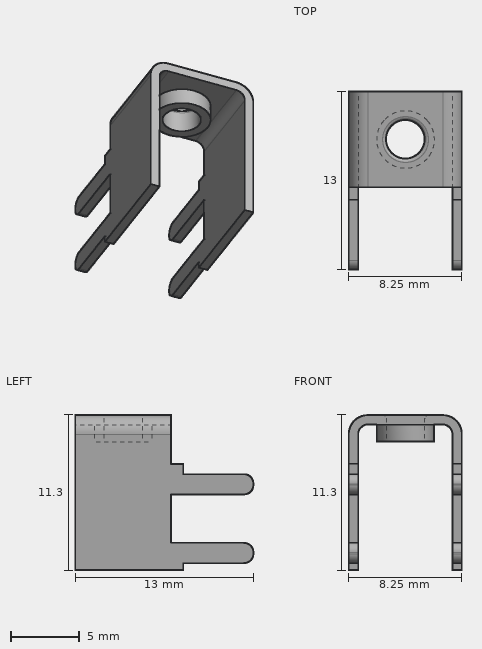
import cadquery as cq

width = 8.25
length = 13.0
height = 11.3

thickness = 0.7
bend_radius = 1.4
body_length = 7.0

pin_width = 1.5
pin_pitch = 5.0
pin_tip_radius = 0.7
lower_pin_bottom = 0.5
shoulder_length = 0.9
upper_shoulder_height = 0.74

collar_diameter = 4.2
collar_depth = 1.25
hole_diameter = 2.8
hole_lip_radius = 0.27

body_front = length - body_length
body_center_y = body_front + body_length / 2
shoulder_front = body_front - shoulder_length
lower_pin_top = lower_pin_bottom + pin_width
upper_pin_bottom = lower_pin_bottom + pin_pitch
upper_pin_top = upper_pin_bottom + pin_width


def box_between(x_range, y_range, z_range):
    """Box spanning the given (low, high) pairs."""
    low, high = zip(x_range, y_range, z_range)
    size = [b - a for a, b in zip(low, high)]
    return cq.Workplane("XY").box(*size, centered=False).translate(low)


def make_channel():
    """Inverted U of constant thickness with rounded bends."""
    half = width / 2
    outer = box_between((-half, half), (body_front, length), (0, height))
    outer = outer.edges("|Y and >Z").fillet(bend_radius)
    inner_half = half - thickness
    inner = box_between((-inner_half, inner_half), (body_front, length), (0, height - thickness))
    inner = inner.edges("|Y and >Z").fillet(bend_radius - thickness)
    return outer.cut(inner)


def make_pin(x_range, bottom):
    """Flat pin with rounded tip corners, pointing toward -Y."""
    pin = box_between(x_range, (0, body_front), (bottom, bottom + pin_width))
    return pin.edges("|X and <Y").fillet(pin_tip_radius)


def make_wall_pins(x_low):
    """Two pins and their shoulders for the wall starting at x_low."""
    x_range = (x_low, x_low + thickness)
    shoulder_y = (shoulder_front, body_front)
    lower_shoulder = box_between(x_range, shoulder_y, (0, lower_pin_top))
    upper_shoulder = box_between(
        x_range, shoulder_y, (upper_pin_bottom, upper_pin_top + upper_shoulder_height)
    )
    pins = make_pin(x_range, lower_pin_bottom).union(make_pin(x_range, upper_pin_bottom))
    return pins.union(lower_shoulder).union(upper_shoulder)


def make_cylinder(diameter, z_low, z_high):
    """Vertical cylinder on the axis of the hole."""
    base = cq.Workplane("XY", origin=(0, body_center_y, z_low))
    return base.circle(diameter / 2).extrude(z_high - z_low)


result = make_channel()
for wall_x in (-width / 2, width / 2 - thickness):
    result = result.union(make_wall_pins(wall_x))

collar_bottom = height - thickness - collar_depth
result = result.union(make_cylinder(collar_diameter, collar_bottom, height))
result = result.cut(make_cylinder(hole_diameter, collar_bottom, height))
result = result.faces(">Z").edges("%CIRCLE").fillet(hole_lip_radius)